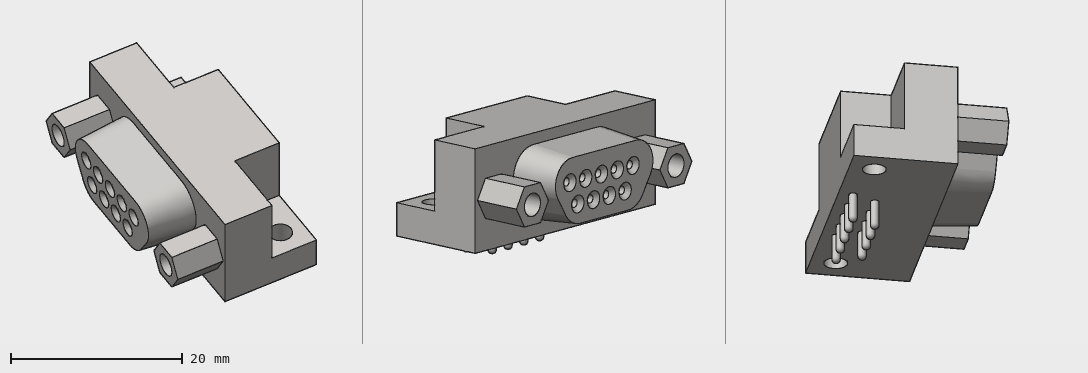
import cadquery as cq
import math


BODY_WIDTH = 31.3
BODY_DEPTH = 12.3
BODY_HEIGHT = 12.55
BLOCK_WIDTH = 14.12
EAR_DEPTH = 5.98
EAR_HEIGHT = 4.0
EAR_WIDTH = (BODY_WIDTH - BLOCK_WIDTH) / 2

MOUNT_SPACING = 24.92
MOUNT_HOLE_DIAMETER = 2.8
HEX_ACROSS_FLATS = 4.82
FRONT_LENGTH = 6.1

SHELL_TOP_CENTERS = 11.0
SHELL_BOTTOM_CENTERS = 8.3
SHELL_CORNER_RADIUS = 3.5
SHELL_TOP_Z = 11.18
SHELL_BOTTOM_Z = 1.97
SHELL_TAPER_DEGREES = 5

LONG_ROW_COUNT = 5
SHORT_ROW_COUNT = 4
LONG_ROW_LENGTH = 10.95
CONTACT_PITCH = LONG_ROW_LENGTH / (LONG_ROW_COUNT - 1)
ROW_SPACING = 2.82
SOCKET_SHIFT_X = -0.47
SOCKET_TOP_ROW_Z = 7.7
SOCKET_DIAMETER = 1.0
SOCKET_MOUTH_DIAMETER = 2.13
SOCKET_DEPTH = FRONT_LENGTH
SOCKET_MOUTH_DEPTH = (SOCKET_MOUTH_DIAMETER - SOCKET_DIAMETER) / 2

PIN_DIAMETER = 1.0
PIN_LENGTH = 3.5
PIN_REAR_ROW_INSET = 1.75
PIN_TIP_RADIUS = PIN_DIAMETER / 2


def row_positions(count, middle=0.0):
    """Evenly pitched X positions around a middle."""
    return [middle + (i - (count - 1) / 2) * CONTACT_PITCH for i in range(count)]


def make_body():
    body = cq.Workplane("XY").box(BODY_WIDTH, BODY_DEPTH, BODY_HEIGHT, centered=(True, False, False))
    for side in (-1, 1):
        notch = (
            cq.Workplane("XY")
            .box(EAR_WIDTH, EAR_DEPTH, BODY_HEIGHT - EAR_HEIGHT, centered=(True, False, False))
            .translate((side * (BODY_WIDTH - EAR_WIDTH) / 2, BODY_DEPTH - EAR_DEPTH, EAR_HEIGHT))
        )
        ear_hole = (
            cq.Workplane("XY")
            .center(side * MOUNT_SPACING / 2, BODY_DEPTH - EAR_DEPTH / 2)
            .circle(MOUNT_HOLE_DIAMETER / 2)
            .extrude(EAR_HEIGHT)
        )
        body = body.cut(notch).cut(ear_hole)
    return body


def make_standoffs():
    """Hexagonal standoffs with a bore along their whole length."""
    across_corners = HEX_ACROSS_FLATS / math.cos(math.pi / 6)
    return (
        cq.Workplane("XZ")
        .pushPoints([(side * MOUNT_SPACING / 2, BODY_HEIGHT / 2) for side in (-1, 1)])
        .polygon(6, across_corners)
        .circle(MOUNT_HOLE_DIAMETER / 2)
        .extrude(FRONT_LENGTH)
    )


def make_shell():
    top_z = SHELL_TOP_Z - SHELL_CORNER_RADIUS
    bottom_z = SHELL_BOTTOM_Z + SHELL_CORNER_RADIUS
    corner_centers = [
        (-SHELL_TOP_CENTERS / 2, top_z),
        (SHELL_TOP_CENTERS / 2, top_z),
        (SHELL_BOTTOM_CENTERS / 2, bottom_z),
        (-SHELL_BOTTOM_CENTERS / 2, bottom_z),
    ]
    return (
        cq.Workplane("XZ")
        .polyline(corner_centers)
        .close()
        .offset2D(SHELL_CORNER_RADIUS, "arc")
        .extrude(FRONT_LENGTH, taper=SHELL_TAPER_DEGREES)
    )


def cut_sockets(part):
    """Two rows of blind sockets with conical lead-in mouths."""
    top_row = [(x, SOCKET_TOP_ROW_Z) for x in row_positions(LONG_ROW_COUNT, SOCKET_SHIFT_X)]
    bottom_z = SOCKET_TOP_ROW_Z - ROW_SPACING
    bottom_row = [(x, bottom_z) for x in row_positions(SHORT_ROW_COUNT, SOCKET_SHIFT_X)]
    profile = [
        (0, 0),
        (SOCKET_MOUTH_DIAMETER / 2, 0),
        (SOCKET_DIAMETER / 2, SOCKET_MOUTH_DEPTH),
        (SOCKET_DIAMETER / 2, SOCKET_DEPTH),
        (0, SOCKET_DEPTH),
    ]
    socket = cq.Workplane("XY").polyline(profile).close().revolve(360, (0, 0), (0, 1))
    for x, z in top_row + bottom_row:
        part = part.cut(socket.translate((x, -FRONT_LENGTH, z)))
    return part


def make_pins():
    """Two staggered rows of round-tipped pins, each joined to the underside of the body."""
    rear_y = BODY_DEPTH - PIN_REAR_ROW_INSET
    rear_row = [(x, rear_y) for x in row_positions(LONG_ROW_COUNT)]
    front_row = [(x, rear_y - ROW_SPACING) for x in row_positions(SHORT_ROW_COUNT)]
    shank_end = -(PIN_LENGTH - PIN_TIP_RADIUS)
    shanks = (
        cq.Workplane("XY")
        .pushPoints(rear_row + front_row)
        .circle(PIN_DIAMETER / 2)
        .extrude(shank_end)
    )
    tips = (
        cq.Workplane("XY", origin=(0, 0, shank_end))
        .pushPoints(rear_row + front_row)
        .sphere(PIN_TIP_RADIUS)
    )
    return shanks.union(tips)


housing = make_body().union(make_standoffs()).union(make_shell())
result = cut_sockets(housing).union(make_pins())